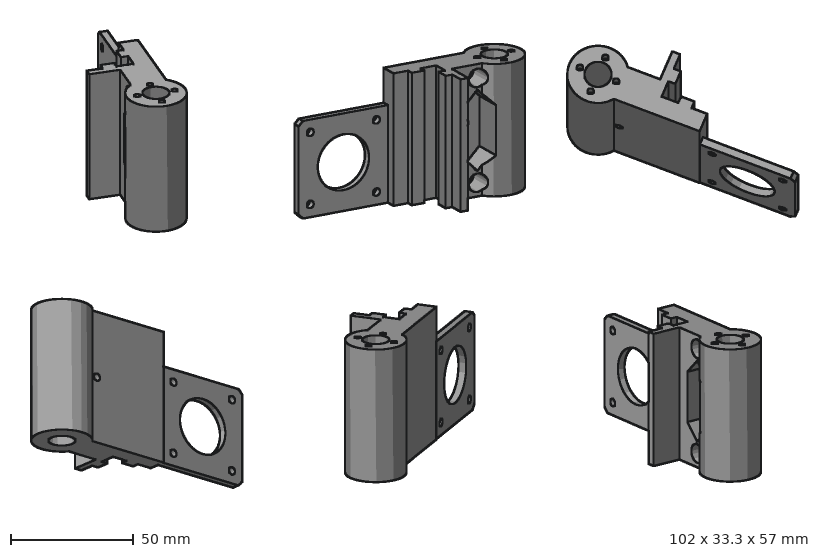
import cadquery as cq

height = 57.0
overall_length = 102.0

barrel_diameter = 25.1
bore_diameter = 11.0
end_hole_diameter = 2.5
end_hole_circle_radius = 8.0
end_hole_depth = 4.5
end_hole_count = 4

arm_half_width = 7.5
leg_length = 20.0
leg_thickness = 3.5
corner_x = -27.6
corner_y = -0.7
rail_distance = 10.2
rail_width = 5.9
rail_height = 3.1

plate_size = 42.0
plate_thickness = 3.5
plate_back_y = 7.3
plate_corner_chamfer = 2.0
motor_opening_diameter = 24.0
motor_hole_spacing = 31.0
screw_hole_diameter = 3.2

recess_x = -12.2
recess_depth = 10.0
pocket_width = 13.3
pocket_height = 34.9
round_recess_diameter = 8.0
round_recess_spacing = 45.1

barrel_radius = barrel_diameter / 2
mid_height = height / 2
recess_floor_y = recess_depth - arm_half_width
plate_left_x = barrel_radius - overall_length


def box(x_min, x_max, y_min, y_max, z_height):
    """Block standing on the bottom plane."""
    return (
        cq.Workplane("XY")
        .box(x_max - x_min, y_max - y_min, z_height, centered=False)
        .translate((x_min, y_min, 0))
    )


def front_plane(y):
    """Sketch plane at the given depth: local x is X, local y is Z, normal is -Y."""
    return cq.Workplane("XZ", origin=(0, y, 0))


def make_bracket():
    rail_near = rail_distance - rail_width / 2
    rail_far = rail_distance + rail_width / 2
    back_leg = box(corner_x - leg_length, corner_x, corner_y, arm_half_width, height)
    arm = box(corner_x, 0, -arm_half_width, arm_half_width, height)
    side_leg = box(corner_x, corner_x + leg_thickness, corner_y - leg_length, corner_y, height)
    back_rail = box(corner_x - rail_far, corner_x - rail_near, corner_y - rail_height, corner_y, height)
    side_rail = box(corner_x - rail_height, corner_x, corner_y - rail_far, corner_y - rail_near, height)
    return arm.union(back_leg).union(side_leg).union(back_rail).union(side_rail)


def make_motor_plate():
    plate_right_x = plate_left_x + plate_size
    plate_front_y = plate_back_y - plate_thickness
    center = (plate_left_x + plate_size / 2, plate_size / 2)
    plate = (
        box(plate_left_x, plate_right_x, plate_front_y, plate_back_y, plate_size)
        .edges("|Y and <X")
        .chamfer(plate_corner_chamfer)
    )
    opening = (
        front_plane(plate_back_y)
        .center(*center)
        .circle(motor_opening_diameter / 2)
        .extrude(plate_thickness)
    )
    screw_holes = (
        front_plane(plate_back_y)
        .center(*center)
        .rect(motor_hole_spacing, motor_hole_spacing, forConstruction=True)
        .vertices()
        .circle(screw_hole_diameter / 2)
        .extrude(plate_thickness)
    )
    return plate.cut(opening).cut(screw_holes)


def make_barrel_holes():
    bore = cq.Workplane("XY").circle(bore_diameter / 2).extrude(height)
    end_holes = (
        cq.Workplane("XY", origin=(0, 0, height))
        .polarArray(end_hole_circle_radius, 0, 360, end_hole_count)
        .circle(end_hole_diameter / 2)
        .extrude(-end_hole_depth)
    )
    return bore.union(end_holes)


def make_recesses():
    cut_length = recess_floor_y + barrel_radius
    half_width = pocket_width / 2
    tip = pocket_height / 2
    shoulder = tip - half_width
    floor = front_plane(recess_floor_y).center(recess_x, mid_height)
    pocket = (
        floor.polyline(
            [
                (0, tip),
                (half_width, shoulder),
                (half_width, -shoulder),
                (0, -tip),
                (-half_width, -shoulder),
                (-half_width, shoulder),
            ]
        )
        .close()
        .extrude(cut_length)
    )
    round_recesses = (
        front_plane(recess_floor_y)
        .center(recess_x, mid_height)
        .pushPoints([(0, -round_recess_spacing / 2), (0, round_recess_spacing / 2)])
        .circle(round_recess_diameter / 2)
        .extrude(cut_length)
    )
    screw_hole = (
        front_plane(barrel_radius)
        .center(recess_x, mid_height)
        .circle(screw_hole_diameter / 2)
        .extrude(barrel_diameter)
    )
    return pocket.union(round_recesses).union(screw_hole)


barrel = cq.Workplane("XY").circle(barrel_radius).extrude(height)
result = (
    make_bracket()
    .union(barrel)
    .union(make_motor_plate())
    .cut(make_barrel_holes())
    .cut(make_recesses())
)